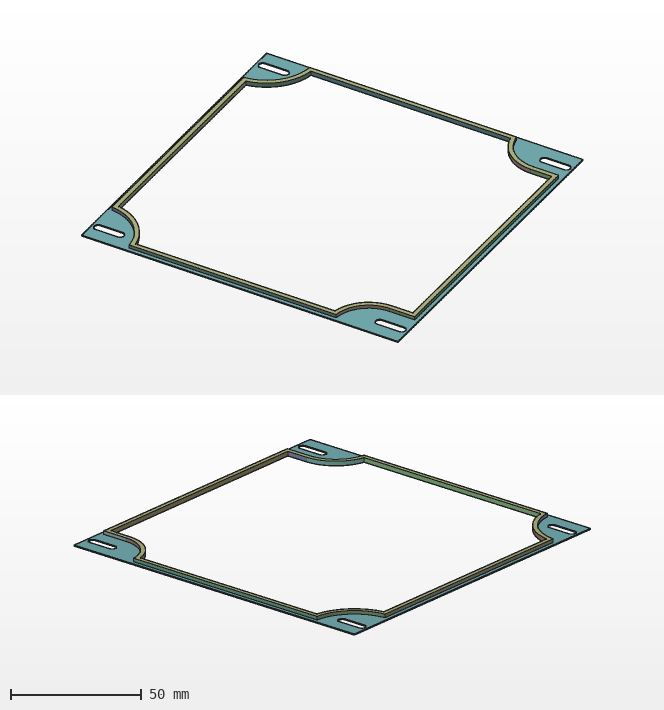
import cadquery as cq

side = 140.0
total_height = 2.0
base_height = 0.5
ledge = 1.7
rim_width = 2.0
corner_radius = 20.2
pad_radius = 15.5
pad_reach = 12.9
slot_length = 13.2
slot_width = 3.5
slot_inset = 7.7

half = side / 2


def opening_prism(offset, height):
    """Square inset from the rim's outer face by offset, less its four corner pads."""
    inner_side = side - 2 * (ledge + offset)
    prism = cq.Workplane("XY").rect(inner_side, inner_side).extrude(height)
    left_radius = corner_radius + offset
    right_radius = pad_radius + offset
    pad_center_x = half - pad_reach
    for y_sign in (-1, 1):
        edge_y = y_sign * half
        left_pad = cq.Workplane("XY").center(-half, edge_y).circle(left_radius).extrude(height)
        round_pad = cq.Workplane("XY").center(pad_center_x, edge_y).circle(right_radius).extrude(height)
        straight_pad = (
            cq.Workplane("XY")
            .center(half - pad_reach / 2, edge_y)
            .rect(pad_reach, 2 * right_radius)
            .extrude(height)
        )
        prism = prism.cut(left_pad).cut(round_pad).cut(straight_pad)
    return prism


flange = cq.Workplane("XY").rect(side, side).extrude(base_height)
rim = opening_prism(0, total_height)
opening = opening_prism(rim_width, total_height)
frame = flange.union(rim).cut(opening)

slot_spacing = side - 2 * slot_inset
slots = (
    cq.Workplane("XY")
    .rect(slot_spacing, slot_spacing, forConstruction=True)
    .vertices()
    .slot2D(slot_length, slot_width)
    .extrude(base_height)
)

result = frame.cut(slots)